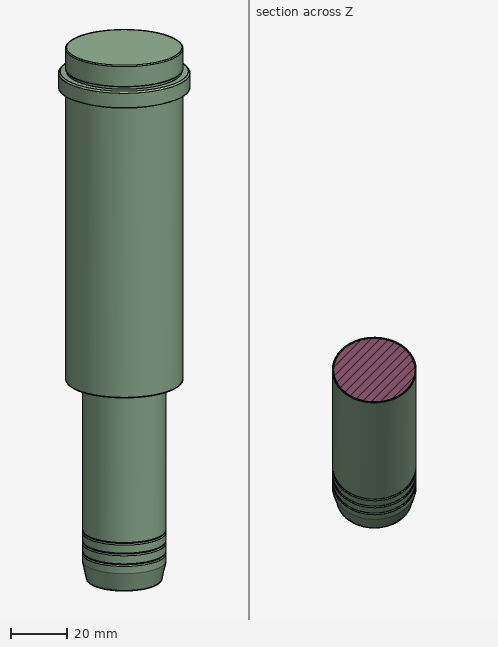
import cadquery as cq

total_height = 200.0
body_radius = 42.0 / 2
body_bottom = 75.0
body_chamfer = 0.5
pin_radius = 30.0 / 2

collar_radius = 47.0 / 2
collar_top = 191.0
collar_bottom = 185.0
collar_chamfer = 0.5

relief_width = 1.0
relief_depth = 0.5

groove_count = 3
groove_pitch = 4.0
lowest_groove_center = 10.5
groove_width = 1.0
groove_depth = 0.3
tip_height = 7.2
tip_radius = 13.5
tip_chamfer = 0.5


def ring_cut(radius, depth, bottom, width):
    """Annular cutter that removes `depth` from a cylinder of `radius`."""
    return (
        cq.Workplane("XY", origin=(0, 0, bottom))
        .circle(radius)
        .circle(radius - depth)
        .extrude(width)
    )


def v_ring_cut(radius, depth, center, width):
    """V-section annular cutter centered at height `center`."""
    return (
        cq.Workplane("XZ")
        .moveTo(radius, center - width / 2)
        .lineTo(radius - depth, center)
        .lineTo(radius, center + width / 2)
        .close()
        .revolve(360, (0, 0, 0), (0, 1, 0))
    )


def make_pin():
    """Pin with a conical tip and a chamfered end."""
    return (
        cq.Workplane("XZ")
        .lineTo(tip_radius, 0)
        .lineTo(pin_radius, tip_height)
        .lineTo(pin_radius, body_bottom)
        .lineTo(0, body_bottom)
        .close()
        .revolve(360, (0, 0, 0), (0, 1, 0))
        .faces("<Z")
        .chamfer(tip_chamfer)
    )


def make_body():
    """Large cylinder with chamfered rims."""
    return (
        cq.Workplane("XY", origin=(0, 0, body_bottom))
        .circle(body_radius)
        .extrude(total_height - body_bottom)
        .faces("<Z or >Z")
        .chamfer(body_chamfer)
    )


def make_collar():
    """Flange ring with a chamfered upper rim."""
    return (
        cq.Workplane("XY", origin=(0, 0, collar_bottom))
        .circle(collar_radius)
        .extrude(collar_top - collar_bottom)
        .faces(">Z")
        .chamfer(collar_chamfer)
    )


result = make_pin().union(make_body()).union(make_collar())

result = result.cut(ring_cut(body_radius, relief_depth, collar_top, relief_width))
result = result.cut(v_ring_cut(body_radius, relief_depth, collar_bottom - relief_width / 2, relief_width))
result = result.cut(ring_cut(pin_radius, relief_depth, body_bottom - relief_width, relief_width))

for index in range(groove_count):
    groove_center = lowest_groove_center + index * groove_pitch
    result = result.cut(v_ring_cut(pin_radius, groove_depth, groove_center, groove_width))